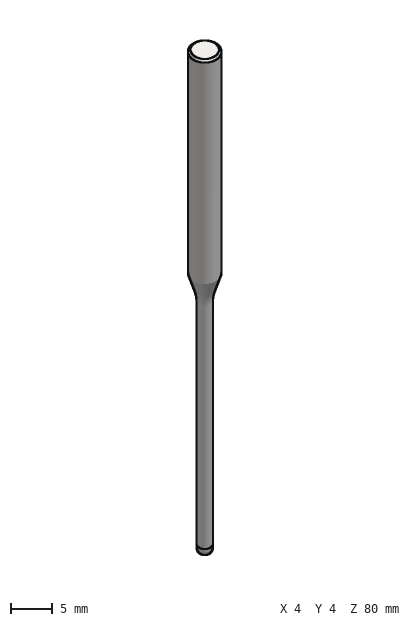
import cadquery as cq
import math

TOTAL_LENGTH = 80.0
SHANK_RADIUS = 2.0
SHANK_CHAMFER = 0.3

BALL_RADIUS = 1.0
TIP_LENGTH = 1.5

NECK_RADIUS = BALL_RADIUS
NECK_TOP = 40.2
BLEND_HEIGHT = 1.6
CONE_HALF_ANGLE = math.radians(16)

blend_radius = BLEND_HEIGHT / math.sin(CONE_HALF_ANGLE)
half_turn = CONE_HALF_ANGLE / 2
blend_middle = (
    NECK_RADIUS + blend_radius * (1 - math.cos(half_turn)),
    NECK_TOP + blend_radius * math.sin(half_turn),
)
cone_bottom_radius = NECK_RADIUS + blend_radius * (1 - math.cos(CONE_HALF_ANGLE))
cone_bottom = NECK_TOP + BLEND_HEIGHT
cone_top = cone_bottom + (SHANK_RADIUS - cone_bottom_radius) / math.tan(CONE_HALF_ANGLE)


def revolve_about_z(profile):
    """Turn a closed (radius, height) profile about Z, starting from the -Y side."""
    turned = profile.revolve(360, (0, 0, 0), (0, 1, 0))
    return turned.rotate((0, 0, 0), (0, 0, 1), -90)


def make_shank():
    """Shank, cone, blend and neck, down to the flat joint with the tip."""
    profile = (
        cq.Workplane("XZ")
        .moveTo(0, TIP_LENGTH)
        .lineTo(NECK_RADIUS, TIP_LENGTH)
        .lineTo(NECK_RADIUS, NECK_TOP)
        .threePointArc(blend_middle, (cone_bottom_radius, cone_bottom))
        .lineTo(SHANK_RADIUS, cone_top)
        .lineTo(SHANK_RADIUS, TOTAL_LENGTH - SHANK_CHAMFER)
        .lineTo(SHANK_RADIUS - SHANK_CHAMFER, TOTAL_LENGTH)
        .lineTo(0, TOTAL_LENGTH)
        .close()
    )
    return revolve_about_z(profile)


def make_cutting_tip():
    """Ball-ended cutting tip, flush with the neck above it."""
    arc_offset = BALL_RADIUS * math.sqrt(0.5)
    profile = (
        cq.Workplane("XZ")
        .moveTo(0, 0)
        .threePointArc((arc_offset, BALL_RADIUS - arc_offset), (BALL_RADIUS, BALL_RADIUS))
        .lineTo(BALL_RADIUS, TIP_LENGTH)
        .lineTo(0, TIP_LENGTH)
        .close()
    )
    return revolve_about_z(profile)


shank = make_shank()
cutting_tip = make_cutting_tip()

result = cq.Compound.makeCompound([shank.val(), cutting_tip.val()])